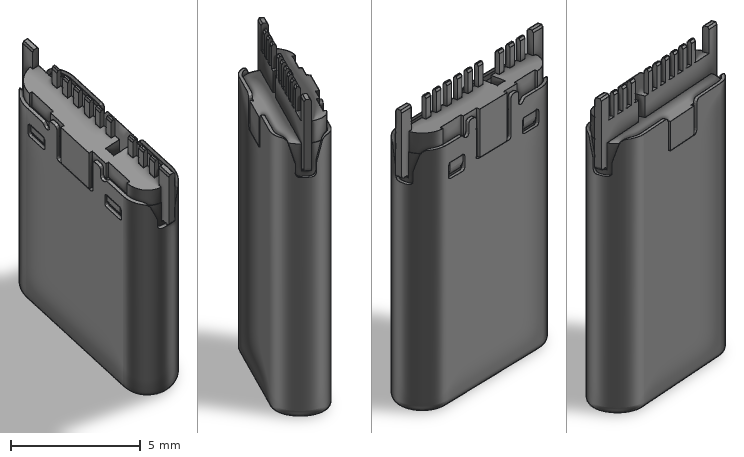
import cadquery as cq

SHELL_WIDTH = 8.25
SHELL_DEPTH = 2.4
HALF_DEPTH = SHELL_DEPTH / 2
SHELL_TOP = 11.52
WALL = 0.15
NOSE_FILLET = 0.3
BEND_RADIUS = 0.15

POCKET_FLOOR = 9.0
EAR_TOP = 12.0
EAR_OUTER_X = 1.55
DIP_START_X = 1.95
KEYWAY_HALF_WIDTH = 1.085
KEYWAY_BOTTOM = 10.08
BACK_CORNER_RADIUS = 0.2
NOTCH_BOTTOM = 9.96
NOTCH_HALF_WIDTH = 0.42
NOTCH_TAPER_START = 10.55
NOTCH_TOP_HALF_WIDTH = 0.72
NOTCH_BOTTOM_RADIUS = 0.2
NOTCH_TOP_RADIUS = 0.24

WINDOW_X = 2.305
WINDOW_WIDTH = 1.0
WINDOW_BOTTOM = 9.95
WINDOW_TOP = 10.67
WINDOW_CORNER_RADIUS = 0.12
LATCH_X = 2.285
LATCH_WIDTH = 0.79
LATCH_BOTTOM = 10.04
LATCH_RAMP_START = 10.24
LATCH_LIP = 10.34
LATCH_TOP = 10.64
LATCH_HEIGHT = 0.12
LATCH_LIP_HEIGHT = 0.1

CORE_TOP = 11.3
BLOCK_TOP = 12.2
BLOCK_INSET = 0.17
BLOCK_BACK_Y = 0.15
FRONT_KEY_HALF_WIDTH = 0.85
BACK_KEY_HALF_WIDTH = 0.9
KEY_FACE_Y = HALF_DEPTH - 0.01
RELIEF_INNER_X = 1.67
RELIEF_OUTER_X = 2.94
RELIEF_Y = -0.9
SLOT_X_MIN = 1.07
SLOT_X_MAX = 1.55
SLOT_FRONT_Y = -0.54

PIN_PITCH = 0.653
PIN_POSITIONS = (-4, -3, -2, -1, 0, 1, 3, 4, 5)
PIN_WIDTH = 0.3
PIN_THICKNESS = 0.2
PIN_TOP = 13.2
TAB_OUTER_X = 4.4
TAB_WIDTH = 0.6
TAB_THICKNESS = 0.3
TAB_BOTTOM = 10.3
TAB_TOP = 13.3
TAB_CORNER_RADIUS = 0.12
TIP_CHAMFER_HEIGHT = 0.1
TIP_CHAMFER_DEPTH = 0.06

BEYOND = 10.0
BEYOND_TOP = TAB_TOP + 1.0


def box(x_min, x_max, y_min, y_max, z_min, z_max):
    """Box given by its limits on each axis."""
    size = (x_max - x_min, y_max - y_min, z_max - z_min)
    return cq.Workplane("XY").box(*size, centered=False).translate((x_min, y_min, z_min))


def rounded_bar(inset, z_min, z_max):
    """Upright bar with the shell's outline moved inward by `inset`."""
    plan = cq.Workplane("XY", origin=(0, 0, z_min))
    return plan.slot2D(SHELL_WIDTH - 2 * inset, SHELL_DEPTH - 2 * inset).extrude(z_max - z_min)


def both_sides(half):
    """A shape together with its mirror image across the YZ plane."""
    return half.union(half.mirror("YZ"))


def edge_near(x, y, z):
    return cq.NearestToPointSelector((x, y, z))


def ear_side_cutter():
    """Removes the front wall outside one ear, with the rounded dip at the ear's foot."""
    dip_depth = DIP_START_X - EAR_OUTER_X
    dip_bottom = SHELL_TOP - dip_depth
    outline = [
        (BEYOND, SHELL_TOP),
        (DIP_START_X, SHELL_TOP),
        (EAR_OUTER_X, dip_bottom),
        (EAR_OUTER_X, BEYOND_TOP),
        (BEYOND, BEYOND_TOP),
    ]
    cutter = cq.Workplane("XZ").polyline(outline).close().extrude(BEYOND)
    for x, z in ((DIP_START_X, SHELL_TOP), (EAR_OUTER_X, dip_bottom)):
        cutter = cutter.edges(edge_near(x, -BEYOND / 2, z)).fillet(BEND_RADIUS)
    return cutter


def keyway_cutter(rim_z, top_radius, bottom_radius):
    """Slot open at the rim of a wall, with rounded lower corners and flared upper corners."""
    flare_x = KEYWAY_HALF_WIDTH + top_radius
    half = (
        cq.Workplane("XZ")
        .moveTo(0, KEYWAY_BOTTOM)
        .lineTo(KEYWAY_HALF_WIDTH - bottom_radius, KEYWAY_BOTTOM)
        .tangentArcPoint((KEYWAY_HALF_WIDTH, KEYWAY_BOTTOM + bottom_radius), relative=False)
        .lineTo(KEYWAY_HALF_WIDTH, rim_z - top_radius)
        .tangentArcPoint((flare_x, rim_z), relative=False)
        .lineTo(flare_x, BEYOND_TOP)
        .lineTo(0, BEYOND_TOP)
        .close()
        .extrude(BEYOND)
    )
    return both_sides(half)


def side_notch_cutter():
    """Tapered notch at both rounded sides, where the tabs come out."""
    outline = [
        (-NOTCH_HALF_WIDTH, NOTCH_BOTTOM),
        (NOTCH_HALF_WIDTH, NOTCH_BOTTOM),
        (NOTCH_HALF_WIDTH, NOTCH_TAPER_START),
        (NOTCH_TOP_HALF_WIDTH, SHELL_TOP),
        (HALF_DEPTH - WALL, SHELL_TOP),
        (HALF_DEPTH - WALL, BEYOND_TOP),
        (WALL - HALF_DEPTH, BEYOND_TOP),
        (WALL - HALF_DEPTH, SHELL_TOP),
        (-NOTCH_TOP_HALF_WIDTH, SHELL_TOP),
        (-NOTCH_HALF_WIDTH, NOTCH_TAPER_START),
    ]
    cutter = cq.Workplane("YZ").polyline(outline).close().extrude(BEYOND, both=True)
    corners = (
        (NOTCH_HALF_WIDTH, NOTCH_BOTTOM, NOTCH_BOTTOM_RADIUS),
        (NOTCH_TOP_HALF_WIDTH, SHELL_TOP, NOTCH_TOP_RADIUS),
    )
    for y, z, radius in corners:
        for side in (-1, 1):
            cutter = cutter.edges(edge_near(0, side * y, z)).fillet(radius)
    return cutter


def window_cutter():
    """Rounded latch window through the front wall."""
    x_min = WINDOW_X - WINDOW_WIDTH / 2
    opening = box(x_min, x_min + WINDOW_WIDTH, -BEYOND, 0, WINDOW_BOTTOM, WINDOW_TOP)
    return opening.edges("|Y").fillet(WINDOW_CORNER_RADIUS)


def make_shell():
    shell = rounded_bar(0, 0, EAR_TOP).faces("<Z").edges().fillet(NOSE_FILLET)
    shell = shell.cut(rounded_bar(WALL, POCKET_FLOOR, EAR_TOP))
    shell = shell.cut(box(-BEYOND, BEYOND, 0, BEYOND, SHELL_TOP, EAR_TOP))
    shell = shell.cut(both_sides(ear_side_cutter()))
    shell = shell.cut(keyway_cutter(EAR_TOP, BEND_RADIUS, BEND_RADIUS))
    back_keyway = keyway_cutter(SHELL_TOP, BACK_CORNER_RADIUS, BACK_CORNER_RADIUS)
    shell = shell.cut(back_keyway.mirror("XZ"))
    for side in (-1, 1):
        ear_corner = edge_near(side * EAR_OUTER_X, WALL / 2 - HALF_DEPTH, EAR_TOP)
        shell = shell.edges(ear_corner).fillet(BEND_RADIUS)
    shell = shell.cut(side_notch_cutter())
    return shell.cut(both_sides(window_cutter()))


def make_latch():
    """Catch that stands on the insulator inside a window, with a ramp on its lower side."""
    base_y = WALL - HALF_DEPTH
    profile = [
        (0, LATCH_BOTTOM),
        (base_y, LATCH_BOTTOM),
        (base_y - LATCH_LIP_HEIGHT, LATCH_RAMP_START),
        (base_y - LATCH_HEIGHT, LATCH_LIP),
        (base_y - LATCH_HEIGHT, LATCH_TOP),
        (0, LATCH_TOP),
    ]
    start_x = LATCH_X - LATCH_WIDTH / 2
    return cq.Workplane("YZ", origin=(start_x, 0, 0)).polyline(profile).close().extrude(LATCH_WIDTH)


def make_insulator():
    core = rounded_bar(WALL, POCKET_FLOOR, CORE_TOP)
    block = rounded_bar(BLOCK_INSET, POCKET_FLOOR, BLOCK_TOP)
    block = block.cut(box(-BEYOND, BEYOND, BLOCK_BACK_Y, BEYOND, CORE_TOP, BLOCK_TOP))
    relief = box(RELIEF_INNER_X, RELIEF_OUTER_X, -BEYOND, RELIEF_Y, CORE_TOP, BLOCK_TOP)
    block = block.cut(both_sides(relief))
    block = block.cut(box(SLOT_X_MIN, SLOT_X_MAX, SLOT_FRONT_Y, BEYOND, CORE_TOP, BLOCK_TOP))
    front_key = box(-FRONT_KEY_HALF_WIDTH, FRONT_KEY_HALF_WIDTH, -KEY_FACE_Y, 0, KEYWAY_BOTTOM, BLOCK_TOP)
    back_key = box(-BACK_KEY_HALF_WIDTH, BACK_KEY_HALF_WIDTH, 0, KEY_FACE_Y, KEYWAY_BOTTOM, CORE_TOP)
    insulator = core.union(block).union(front_key).union(back_key)
    return insulator.union(both_sides(make_latch()))


def make_blade(x_min, x_max, back_y, thickness, top):
    """Flat upright blade with the front and back edges of its tip bevelled."""
    front_y = back_y - thickness
    shoulder = top - TIP_CHAMFER_HEIGHT
    profile = [
        (front_y, POCKET_FLOOR),
        (back_y, POCKET_FLOOR),
        (back_y, shoulder),
        (back_y - TIP_CHAMFER_DEPTH, top),
        (front_y + TIP_CHAMFER_DEPTH, top),
        (front_y, shoulder),
    ]
    return cq.Workplane("YZ", origin=(x_min, 0, 0)).polyline(profile).close().extrude(x_max - x_min)


def make_pin(x):
    return make_blade(x - PIN_WIDTH / 2, x + PIN_WIDTH / 2, BLOCK_BACK_Y, PIN_THICKNESS, PIN_TOP)


def make_tab():
    """Tab beside the shell, rounded at its lower corner and where it joins the insulator."""
    inner_x = TAB_OUTER_X - TAB_WIDTH
    core_x = SHELL_WIDTH / 2 - WALL
    radius = TAB_CORNER_RADIUS
    blade = make_blade(inner_x, TAB_OUTER_X, TAB_THICKNESS / 2, TAB_THICKNESS, TAB_TOP)
    outline = (
        cq.Workplane("XZ")
        .moveTo(inner_x, TAB_TOP)
        .lineTo(TAB_OUTER_X, TAB_TOP)
        .lineTo(TAB_OUTER_X, TAB_BOTTOM + radius)
        .tangentArcPoint((TAB_OUTER_X - radius, TAB_BOTTOM), relative=False)
        .lineTo(core_x + radius, TAB_BOTTOM)
        .tangentArcPoint((core_x, TAB_BOTTOM - radius), relative=False)
        .lineTo(inner_x, TAB_BOTTOM - radius)
        .close()
        .extrude(TAB_THICKNESS, both=True)
    )
    return blade.intersect(outline)


result = make_shell().union(make_insulator()).union(both_sides(make_tab()))
for position in PIN_POSITIONS:
    result = result.union(make_pin(position * PIN_PITCH))